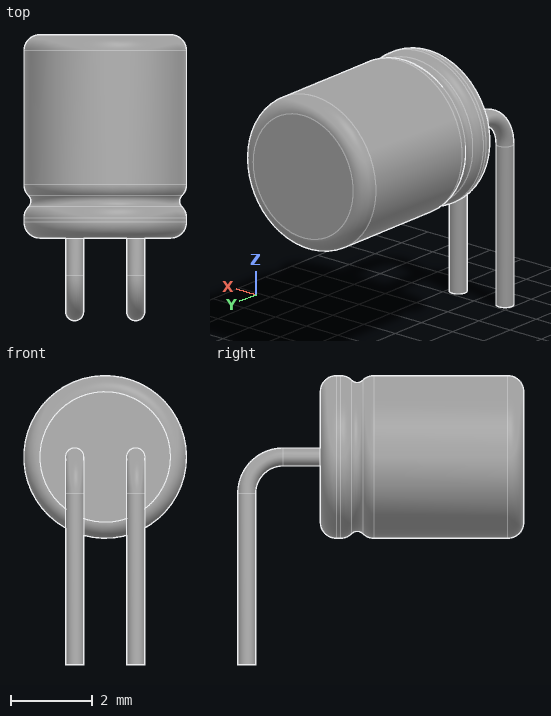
import cadquery as cq
import math

can_diameter = 4.0
can_length = 5.0
rim_diameter = 3.2

groove_center = 0.91
shoulder_radius = 0.38
groove_radius = shoulder_radius / 2
groove_slope = math.radians(45)

recess_depth = 0.1

lead_diameter = 0.45
lead_spacing = 1.5
lead_straight = 0.91
lead_bend_radius = 2 * lead_diameter

total_height = 7.1

can_radius = can_diameter / 2
rim_radius = rim_diameter / 2
edge_radius = can_radius - rim_radius
lead_drop = total_height - can_radius

sin_diagonal = math.sqrt(0.5)


def make_can():
    """Revolve the can's half profile, drawn as (radius, distance from the leaded end)."""
    sin_slope = math.sin(groove_slope)
    sin_half = math.sin(groove_slope / 2)
    cos_half = math.cos(groove_slope / 2)

    shoulder_axis = can_radius - shoulder_radius
    groove_axis = shoulder_axis + (shoulder_radius + groove_radius) * math.cos(groove_slope)

    groove_half = groove_radius * sin_slope
    shoulder_half = groove_half + shoulder_radius * sin_slope

    blend_radius = shoulder_axis + shoulder_radius * math.cos(groove_slope)
    shoulder_mid_radius = shoulder_axis + shoulder_radius * cos_half
    shoulder_mid_offset = shoulder_half - shoulder_radius * sin_half
    edge_mid_radius = rim_radius + edge_radius * sin_diagonal
    edge_mid_inset = edge_radius * (1 - sin_diagonal)

    profile = (
        cq.Workplane("XY")
        .lineTo(rim_radius, 0)
        .threePointArc((edge_mid_radius, edge_mid_inset), (can_radius, edge_radius))
        .lineTo(can_radius, groove_center - shoulder_half)
        .threePointArc(
            (shoulder_mid_radius, groove_center - shoulder_mid_offset),
            (blend_radius, groove_center - groove_half),
        )
        .threePointArc(
            (groove_axis - groove_radius, groove_center),
            (blend_radius, groove_center + groove_half),
        )
        .threePointArc(
            (shoulder_mid_radius, groove_center + shoulder_mid_offset),
            (can_radius, groove_center + shoulder_half),
        )
        .lineTo(can_radius, can_length - edge_radius)
        .threePointArc((edge_mid_radius, can_length - edge_mid_inset), (rim_radius, can_length))
        .lineTo(0, can_length)
        .close()
    )
    return profile.revolve(360, (0, 0, 0), (0, 1, 0))


def make_recess():
    """Disc to remove from the leaded end."""
    return cq.Workplane("XZ").circle(rim_radius).extrude(-recess_depth)


def make_lead(x):
    """Sweep one bent lead, starting on the recess floor."""
    bend_diagonal = lead_bend_radius * sin_diagonal
    path = (
        cq.Workplane("YZ", origin=(x, 0, 0))
        .moveTo(recess_depth, 0)
        .lineTo(-lead_straight, 0)
        .threePointArc(
            (-lead_straight - bend_diagonal, bend_diagonal - lead_bend_radius),
            (-lead_straight - lead_bend_radius, -lead_bend_radius),
        )
        .lineTo(-lead_straight - lead_bend_radius, -lead_drop)
    )
    section = cq.Workplane("XZ", origin=(x, recess_depth, 0)).circle(lead_diameter / 2)
    return section.sweep(path)


result = make_can().cut(make_recess())
for side in (-1, 1):
    result = result.union(make_lead(side * lead_spacing / 2))